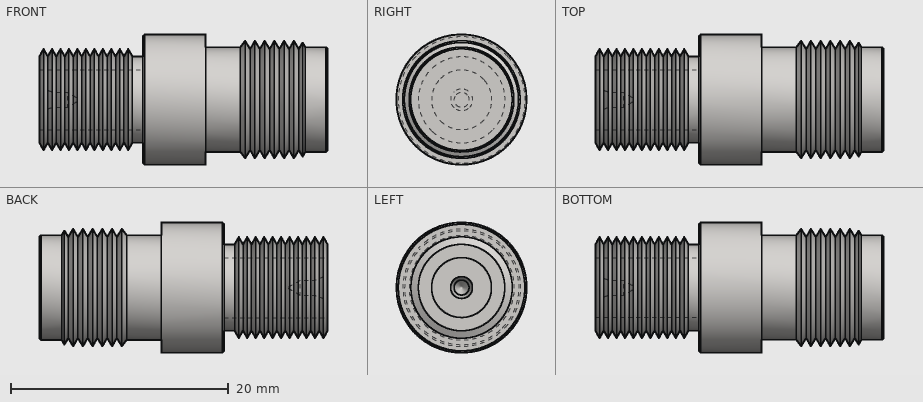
import cadquery as cq
import math

LENGTH = 26.5
AXIS_START = (0, 0, 0)
AXIS_END = (1, 0, 0)

SMALL_THREAD_LENGTH = 8.55
SMALL_RIDGES = 11
SMALL_PITCH = SMALL_THREAD_LENGTH / SMALL_RIDGES
SMALL_CREST_RADIUS = 4.66
NECK_RADIUS = 3.98

COLLAR_START = 9.51
COLLAR_END = 15.3
COLLAR_DIAMETER = 12.0
COLLAR_RADIUS = COLLAR_DIAMETER / 2
COLLAR_CHAMFER = 0.19

BARREL_RADIUS = 4.82
BARREL_CHAMFER = 0.15
LARGE_THREAD_START = 18.47
LARGE_FIRST_CREST = 18.92
LARGE_LAST_CREST = 23.4
LARGE_FULL_RIDGES = 6
LARGE_PITCH = (LARGE_LAST_CREST - LARGE_FIRST_CREST) / (LARGE_FULL_RIDGES - 1)
LARGE_CREST_RADIUS = 5.4
LARGE_ROOT_RADIUS = 4.66
RUNOUT_CREST_RADIUS = 5.25

BORE_RADIUS = 2.75
BORE_DEPTH = COLLAR_START
INSULATOR_RECESS = 0.42

CONTACT_RADIUS = 0.7
COUNTERSINK_RADIUS = 1.0
COUNTERSINK_DEPTH = 0.77
CONTACT_DEPTH = 2.12
DRILL_POINT_ANGLE = 60.0


def revolve_about_x(points):
    """Turn a closed (x, radius) outline about the X axis."""
    outline = cq.Workplane("XY").polyline(points).close()
    return outline.revolve(360, AXIS_START, AXIS_END)


def thread_points(start, pitch, ridges, root_radius, crest_radius):
    """Outline of a row of V-shaped ridges; neighbouring ridges share their root point."""
    points = [(start, root_radius)]
    for i in range(ridges):
        ridge_start = start + i * pitch
        points.append((ridge_start + pitch / 2, crest_radius))
        points.append((ridge_start + pitch, root_radius))
    return points


def large_thread_points():
    """Lead-in flank rising from the barrel, full ridges, then a lower run-out ridge back to the barrel."""
    half_pitch = LARGE_PITCH / 2
    full = thread_points(
        LARGE_FIRST_CREST - half_pitch, LARGE_PITCH, LARGE_FULL_RIDGES, LARGE_ROOT_RADIUS, LARGE_CREST_RADIUS
    )
    lead_in = (LARGE_THREAD_START, BARREL_RADIUS)
    flank_slope = (LARGE_CREST_RADIUS - LARGE_ROOT_RADIUS) / half_pitch
    runout_start = LARGE_LAST_CREST + half_pitch
    runout_crest = runout_start + (RUNOUT_CREST_RADIUS - LARGE_ROOT_RADIUS) / flank_slope
    runout_end = runout_crest + (RUNOUT_CREST_RADIUS - BARREL_RADIUS) / flank_slope
    runout = [(runout_crest, RUNOUT_CREST_RADIUS), (runout_end, BARREL_RADIUS)]
    return [lead_in] + full[1:] + runout


def make_housing():
    """Turned housing with both threads, the collar and the insulator bore."""
    small_thread = thread_points(0, SMALL_PITCH, SMALL_RIDGES, NECK_RADIUS, SMALL_CREST_RADIUS)
    collar = [
        (COLLAR_START, NECK_RADIUS),
        (COLLAR_START, COLLAR_RADIUS - COLLAR_CHAMFER),
        (COLLAR_START + COLLAR_CHAMFER, COLLAR_RADIUS),
        (COLLAR_END, COLLAR_RADIUS),
        (COLLAR_END, BARREL_RADIUS),
    ]
    barrel_end = [
        (LENGTH - BARREL_CHAMFER, BARREL_RADIUS),
        (LENGTH, BARREL_RADIUS - BARREL_CHAMFER),
        (LENGTH, 0),
    ]
    bore = [
        (BORE_DEPTH, 0),
        (BORE_DEPTH, BORE_RADIUS),
        (0, BORE_RADIUS),
    ]
    threaded_barrel = large_thread_points() + barrel_end
    return revolve_about_x(small_thread + collar + threaded_barrel + bore)


def make_insulator():
    """Plug that fills the bore behind the recess, with the contact hole in its face."""
    point_length = CONTACT_RADIUS / math.tan(math.radians(DRILL_POINT_ANGLE / 2))
    countersink_end = INSULATOR_RECESS + COUNTERSINK_DEPTH
    hole_end = INSULATOR_RECESS + CONTACT_DEPTH
    return revolve_about_x([
        (INSULATOR_RECESS, COUNTERSINK_RADIUS),
        (INSULATOR_RECESS, BORE_RADIUS),
        (BORE_DEPTH, BORE_RADIUS),
        (BORE_DEPTH, 0),
        (hole_end + point_length, 0),
        (hole_end, CONTACT_RADIUS),
        (countersink_end, CONTACT_RADIUS),
    ])


housing = make_housing()
insulator = make_insulator()

result = cq.Compound.makeCompound([housing.val(), insulator.val()])